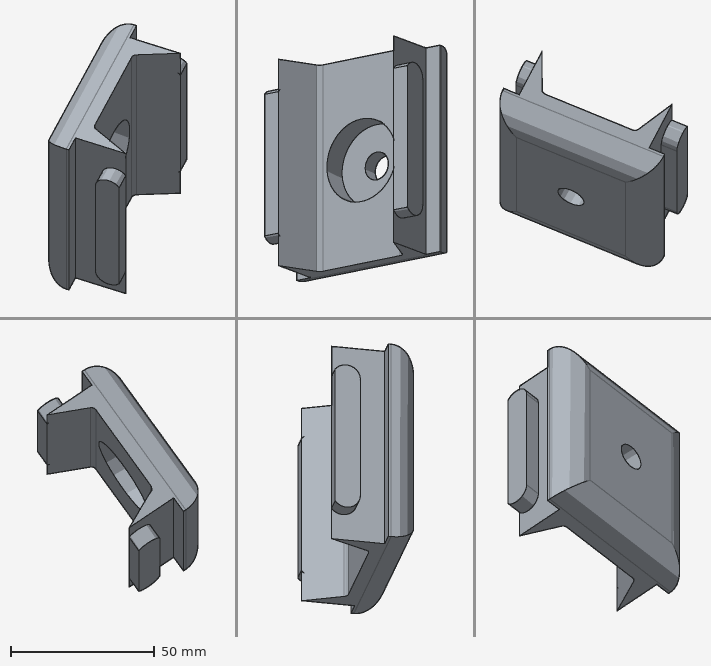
import cadquery as cq

depth = 30.0
width = 62.0
height = 75.0

plate_thickness = 11.0
edge_radius = 10.0

channel_width = 50.0
web_back_x = 15.0
leg_root_thickness = 7.0
inner_corner_radius = 2.0

pad_center_x = 26.0
pad_radius = 5.0
pad_height = 55.4

hole_diameter = 10.0
counterbore_diameter = 30.0
counterbore_floor_x = 6.0


def rounded_bar(plane, direction, across, length):
    """Bar along the plane's normal direction, with both of its front long edges rounded."""
    return (
        cq.Workplane(plane)
        .center(plate_thickness / 2, 0)
        .rect(plate_thickness, across)
        .extrude(length / 2, both=True)
        .faces("<X")
        .edges(f"|{direction}")
        .fillet(edge_radius)
    )


def make_plate():
    """The overlap of two crossing bars, which gives mitred corners."""
    upright = rounded_bar("XY", "Z", width, height)
    crosswise = rounded_bar("XZ", "Y", height, width)
    return upright.intersect(crosswise)


def make_channel():
    """Web and legs in plan, extruded over the full height."""
    outer_y = channel_width / 2
    root_y = outer_y - leg_root_thickness
    channel = (
        cq.Workplane("XY")
        .moveTo(plate_thickness, -outer_y)
        .lineTo(depth, -outer_y)
        .lineTo(web_back_x, -root_y)
        .lineTo(web_back_x, root_y)
        .lineTo(depth, outer_y)
        .lineTo(plate_thickness, outer_y)
        .close()
        .extrude(height / 2, both=True)
    )
    for root in (-root_y, root_y):
        corner = cq.selectors.NearestToPointSelector((web_back_x, root, 0))
        channel = channel.edges(corner).fillet(inner_corner_radius)
    return channel


def make_pads():
    """Round-ended bars across the legs, cut flush with the back of the part."""
    bars = (
        cq.Workplane("XZ")
        .center(pad_center_x, 0)
        .slot2D(pad_height, 2 * pad_radius, 90)
        .extrude(width / 2, both=True)
    )
    within_depth = cq.Workplane("XY").box(depth, width, height, centered=(False, True, True))
    between_pads = cq.Workplane("XY").box(
        depth, channel_width, height, centered=(False, True, True)
    )
    return bars.intersect(within_depth).cut(between_pads)


def make_hole():
    """Bore and its larger counterbore, open at the back."""
    bore = cq.Workplane("YZ").circle(hole_diameter / 2).extrude(depth)
    counterbore = (
        cq.Workplane("YZ")
        .workplane(offset=counterbore_floor_x)
        .circle(counterbore_diameter / 2)
        .extrude(depth - counterbore_floor_x)
    )
    return bore.union(counterbore)


result = make_plate().union(make_channel()).union(make_pads()).cut(make_hole())